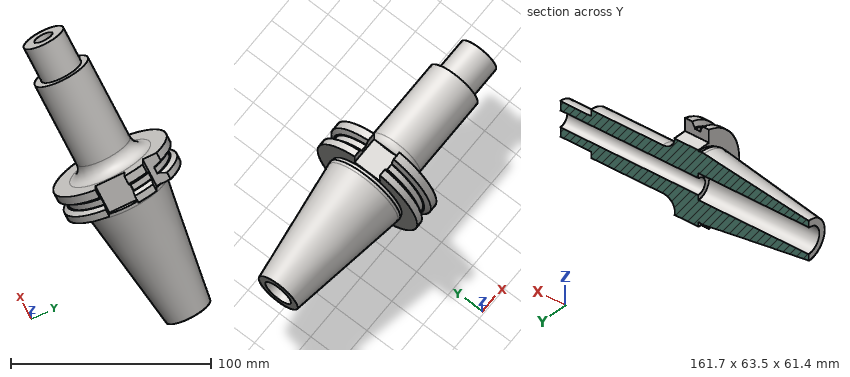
import cadquery as cq
import math

total_length = 161.7
taper_end = 68.2
collar_start = 69.9
flange_start = 71.8
flange_end = 87.5
groove_start = 77.5
groove_end = 81.2
fillet_end = 95.0
shank_end = 141.8

taper_small_radius = 12.5
taper_large_radius = 22.3
collar_radius = 22.5
neck_radius = 22.0
flange_radius = 63.5 / 2
groove_radius = 28.1
groove_step_radius = 29.0
shank_radius = 15.0
tip_radius = 11.2
fillet_radius = fillet_end - flange_end

wall_run = (flange_radius - groove_step_radius) * math.tan(math.radians(30))

through_diameter = 10.2
draw_bar_diameter = 16.3
draw_bar_depth = flange_start

key_width = 16.2
upper_key_floor = 22.6
lower_key_floor = 24.9
notch_y = 18.3
notch_z = -18.1


def turned_body():
    """Taper, grooved flange, filleted shank and tip, revolved about X."""
    diagonal = fillet_radius * math.sqrt(0.5)
    fillet_middle = (fillet_end - diagonal, shank_radius + fillet_radius - diagonal)
    return (
        cq.Workplane("XY")
        .moveTo(0, 0)
        .lineTo(0, taper_small_radius)
        .lineTo(taper_end, taper_large_radius)
        .lineTo(collar_start, collar_radius)
        .lineTo(flange_start, neck_radius)
        .lineTo(flange_start, flange_radius)
        .lineTo(groove_start - wall_run, flange_radius)
        .lineTo(groove_start, groove_step_radius)
        .lineTo(groove_start, groove_radius)
        .lineTo(groove_end, groove_radius)
        .lineTo(groove_end, groove_step_radius)
        .lineTo(groove_end + wall_run, flange_radius)
        .lineTo(flange_end, flange_radius)
        .lineTo(flange_end, shank_radius + fillet_radius)
        .threePointArc(fillet_middle, (fillet_end, shank_radius))
        .lineTo(shank_end, shank_radius)
        .lineTo(shank_end, tip_radius)
        .lineTo(total_length, tip_radius)
        .lineTo(total_length, 0)
        .close()
        .revolve(360, (0, 0, 0), (1, 0, 0))
    )


def axial_bore(diameter, depth):
    """Cylinder entering the part from the small end of the taper."""
    return cq.Workplane("YZ").circle(diameter / 2).extrude(depth)


def flange_cut(y_min, y_max, z_min, z_max):
    """Rectangular cutter spanning the full flange thickness."""
    return cq.Workplane("XY").box(
        flange_end - flange_start, y_max - y_min, z_max - z_min, centered=False
    ).translate((flange_start, y_min, z_min))


half_key = key_width / 2
result = (
    turned_body()
    .cut(axial_bore(through_diameter, total_length))
    .cut(axial_bore(draw_bar_diameter, draw_bar_depth))
    .cut(flange_cut(-half_key, half_key, upper_key_floor, flange_radius))
    .cut(flange_cut(-half_key, half_key, -flange_radius, -lower_key_floor))
    .cut(flange_cut(notch_y, flange_radius, -flange_radius, notch_z))
)